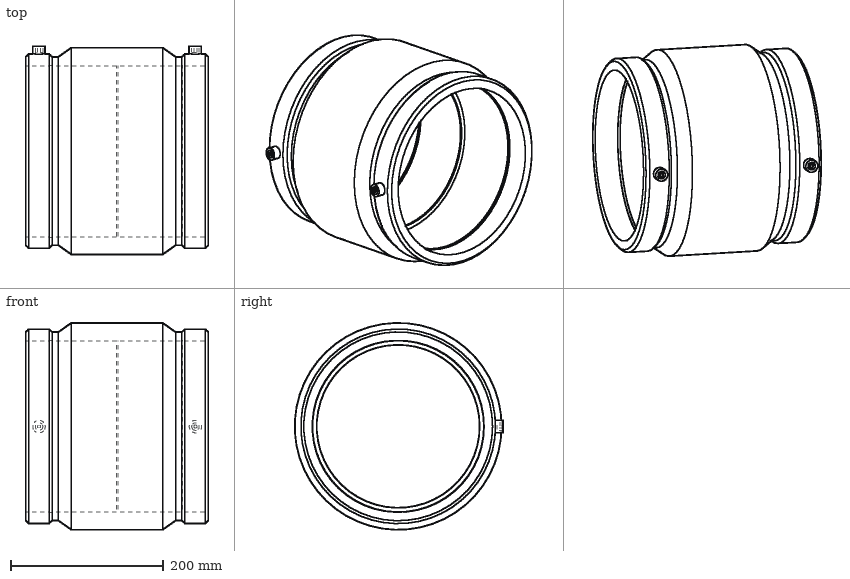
import cadquery as cq

length = 240.0
body_diameter = 272.0
collar_diameter = 255.6
groove_diameter = 248.0
socket_diameter = 225.0
stop_diameter = 213.7

collar_width = 34.8
bevel_length = 4.0
groove_end = 43.0
shoulder_end = 60.0

stop_width = 2.2

ring_start = 31.0
ring_width = 3.3
ring_depth = 0.5

shroud_diameter = 16.5
cavity_diameter = 10.0
contact_diameter = 4.0
terminal_from_end = 17.3
terminal_tip = 274 - body_diameter / 2
cavity_depth = 8.2

half_length = length / 2


def make_body():
    """Revolve the mirrored half outline of the sleeve about X."""
    half_outline = [
        (half_length, groove_diameter / 2),
        (half_length - bevel_length, collar_diameter / 2),
        (half_length - collar_width + bevel_length, collar_diameter / 2),
        (half_length - collar_width, groove_diameter / 2),
        (half_length - groove_end, groove_diameter / 2),
        (half_length - shoulder_end, body_diameter / 2),
    ]
    other_half = [(-x, radius) for x, radius in reversed(half_outline)]
    outline = [(-half_length, 0), (half_length, 0)] + half_outline + other_half
    return cq.Workplane("XY").polyline(outline).close().revolve(360, (0, 0, 0), (1, 0, 0))


def bar_along_y(diameter, x, start, end):
    """Round bar parallel to Y at the given X position."""
    plane = cq.Plane(origin=(x, start, 0), xDir=(1, 0, 0), normal=(0, 1, 0))
    return cq.Workplane(plane).circle(diameter / 2).extrude(end - start)


def bore_along_x(diameter, start, end):
    """Round cutter on the coupling axis."""
    return cq.Workplane("YZ").workplane(offset=start).circle(diameter / 2).extrude(end - start)


result = make_body()

wall_middle = (socket_diameter + groove_diameter) / 4
terminal_positions = [side * (half_length - terminal_from_end) for side in (-1, 1)]
for x in terminal_positions:
    result = result.union(bar_along_y(shroud_diameter, x, wall_middle, terminal_tip))

result = result.cut(bore_along_x(stop_diameter, -half_length, half_length))
result = result.cut(bore_along_x(socket_diameter, -half_length, -stop_width / 2))
result = result.cut(bore_along_x(socket_diameter, stop_width / 2, half_length))

ring_diameter = socket_diameter + 2 * ring_depth
ring_outer_face = half_length - ring_start
ring_inner_face = ring_outer_face - ring_width
result = result.cut(bore_along_x(ring_diameter, -ring_outer_face, -ring_inner_face))
result = result.cut(bore_along_x(ring_diameter, ring_inner_face, ring_outer_face))

cavity_floor = terminal_tip - cavity_depth
for x in terminal_positions:
    result = result.cut(bar_along_y(cavity_diameter, x, cavity_floor, terminal_tip))
    result = result.union(bar_along_y(contact_diameter, x, cavity_floor, terminal_tip))